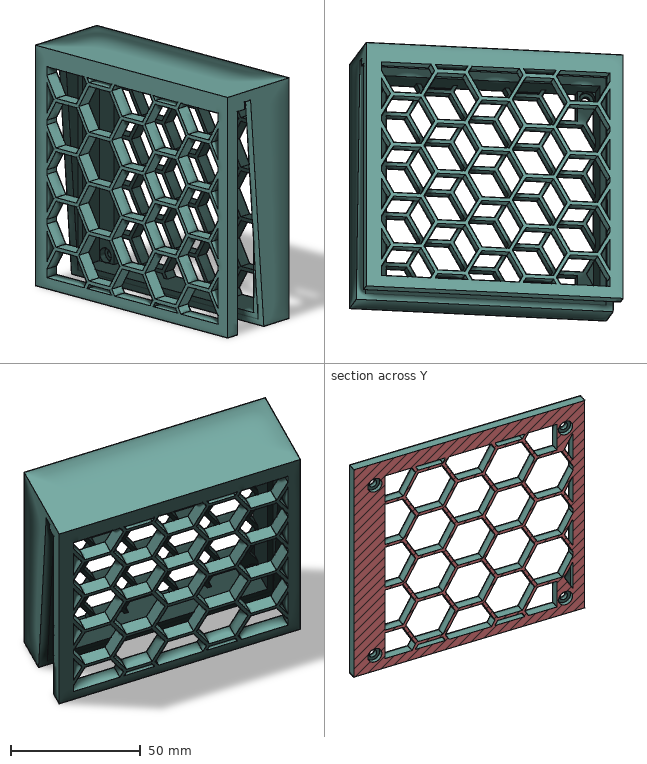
import cadquery as cq
import math

WIDTH = 100.8
DEPTH = 35.0
HEIGHT = 97.0

OPENING_WIDTH = 89.6
OPENING_HEIGHT = 85.0
CENTRE_X = 50.8
CENTRE_Z = 47.1

FRONT_GRILLE_DEPTH = 5.6
BACK_GRILLE_DEPTH = 5.0
CELL_PITCH = 20.0
BAR_WIDTH = 1.5
COLUMN_REACH = 3
ROW_REACH = 3
ALL_CELLS = [
    (column, row)
    for column in range(-COLUMN_REACH, COLUMN_REACH + 1)
    for row in range(-ROW_REACH, ROW_REACH + 1)
]

CORNER_COLUMN = 2
CORNER_ROW = 2

STEP_Y = 9.5
NOTCH_Y = 13.0
SLOT_BOTTOM_Y = 20.6
NOTCH_TOP_Z = HEIGHT - 4.0
STEP_TOP_Z = HEIGHT - 7.0

SEAT_WIDTH = 94.3
SEAT_BOTTOM_Z = 1.7
SEAT_FLOOR_Y = 20.4

LEFT_MARGIN_X = 13.6
RIGHT_MARGIN_X = 88.6
RIGHT_SCREW_CELLS = [(CORNER_COLUMN, CORNER_ROW), (CORNER_COLUMN, -CORNER_ROW)]
BLIND_CELL = (3, -2)
BLIND_CELL_DEPTH = 3.5

SCREW_SPACING_X = 83.2
SCREW_SPACING_Z = 79.4
SCREW_HOLE_DIAMETER = 3.2
SCREW_HEAD_DIAMETER = 5.9
SCREW_HEAD_DEPTH = 3.0


def box_between(x_range, y_range, z_range):
    """Box given by its lower and upper limit along each axis."""
    sizes = [high - low for low, high in (x_range, y_range, z_range)]
    corner = (x_range[0], y_range[0], z_range[0])
    return cq.Workplane("XY").box(*sizes, centered=False).translate(corner)


def along_y(start_y):
    """XZ sketch plane at start_y; negative extrusions run toward +Y."""
    return cq.Workplane("XZ", origin=(0, start_y, 0))


opening_x = (CENTRE_X - OPENING_WIDTH / 2, CENTRE_X + OPENING_WIDTH / 2)
opening_z = (CENTRE_Z - OPENING_HEIGHT / 2, CENTRE_Z + OPENING_HEIGHT / 2)
seat_x = (CENTRE_X - SEAT_WIDTH / 2, CENTRE_X + SEAT_WIDTH / 2)
back_grille_y = DEPTH - BACK_GRILLE_DEPTH


def cell_centre(column, row):
    """Centre of a hexagon; odd columns sit half a pitch higher."""
    column_pitch = CELL_PITCH * math.sqrt(3) / 2
    row_offset = 0.5 if column % 2 else 0.0
    return (CENTRE_X + column * column_pitch, CENTRE_Z + (row + row_offset) * CELL_PITCH)


def hexagons(cells, start_y, depth, x_range):
    """Hexagonal air cells running toward +Y, trimmed to the opening height and to x_range."""
    diameter = (CELL_PITCH - BAR_WIDTH) * 2 / math.sqrt(3)
    centres = [cell_centre(column, row) for column, row in cells]
    prisms = along_y(start_y).pushPoints(centres).polygon(6, diameter).extrude(-depth)
    return prisms.intersect(box_between(x_range, (start_y, start_y + depth), opening_z))


def front_cells():
    """All cells, with the bars left out at the four corners of the opening."""
    cells = hexagons(ALL_CELLS, 0, FRONT_GRILLE_DEPTH, opening_x)
    for column, corner_x in zip((-CORNER_COLUMN, CORNER_COLUMN), opening_x):
        for row, corner_z in zip((-CORNER_ROW, CORNER_ROW), opening_z):
            centre_x, centre_z = cell_centre(column, row)
            corner = box_between(
                sorted((centre_x, corner_x)),
                (0, FRONT_GRILLE_DEPTH),
                sorted((centre_z, corner_z)),
            )
            cells = cells.union(corner)
    return cells


def back_cells():
    """Through cells outside the screw margins, plus one blind cell beside the lower right screw."""
    special_cells = RIGHT_SCREW_CELLS + [BLIND_CELL]
    open_cells = [cell for cell in ALL_CELLS if cell not in special_cells]
    open_x = (LEFT_MARGIN_X, opening_x[1])
    screw_x = (LEFT_MARGIN_X, RIGHT_MARGIN_X)
    cells = hexagons(open_cells, back_grille_y, BACK_GRILLE_DEPTH, open_x)
    cells = cells.union(hexagons(RIGHT_SCREW_CELLS, back_grille_y, BACK_GRILLE_DEPTH, screw_x))
    return cells.union(hexagons([BLIND_CELL], back_grille_y, BLIND_CELL_DEPTH, open_x))


def slot():
    profile = [
        (FRONT_GRILLE_DEPTH, 0),
        (FRONT_GRILLE_DEPTH, STEP_TOP_Z),
        (STEP_Y, STEP_TOP_Z),
        (STEP_Y, NOTCH_TOP_Z),
        (NOTCH_Y, NOTCH_TOP_Z),
        (SLOT_BOTTOM_Y, 0),
    ]
    return cq.Workplane("YZ").polyline(profile).close().extrude(WIDTH)


def screw_holes():
    screws = along_y(back_grille_y).center(CENTRE_X, CENTRE_Z)
    screws = screws.rarray(SCREW_SPACING_X, SCREW_SPACING_Z, 2, 2)
    holes = screws.circle(SCREW_HOLE_DIAMETER / 2).extrude(-BACK_GRILLE_DEPTH)
    heads = screws.circle(SCREW_HEAD_DIAMETER / 2).extrude(-SCREW_HEAD_DEPTH)
    return holes.union(heads)


block = box_between((0, WIDTH), (0, DEPTH), (0, HEIGHT))
seat = box_between(seat_x, (NOTCH_Y, SEAT_FLOOR_Y), (SEAT_BOTTOM_Z, NOTCH_TOP_Z))
cavity = box_between(opening_x, (SEAT_FLOOR_Y, back_grille_y), opening_z)

result = block
for removed in (slot(), seat, cavity, front_cells(), back_cells(), screw_holes()):
    result = result.cut(removed)